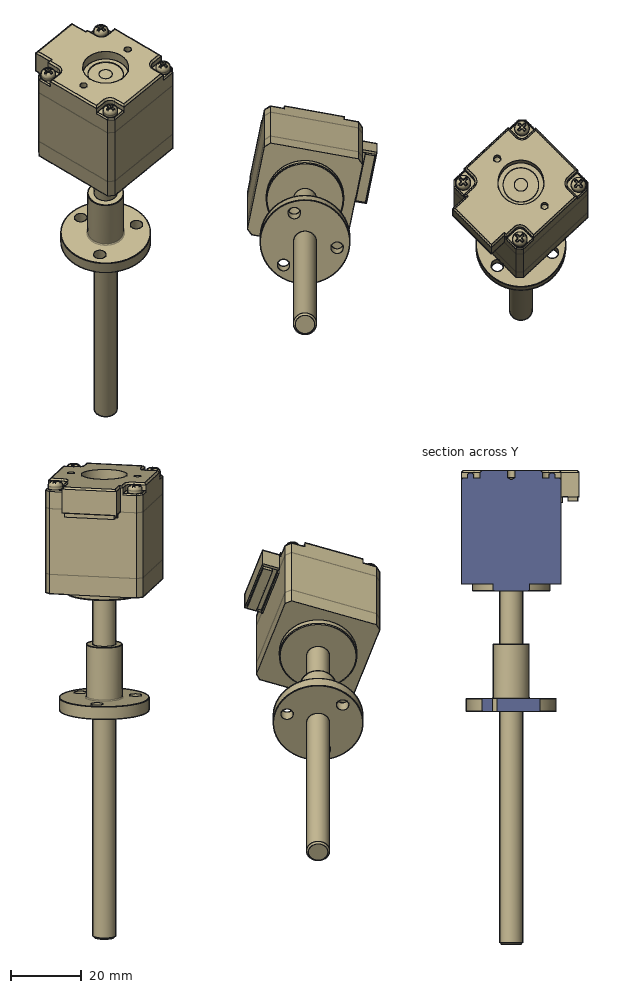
import cadquery as cq

OVERALL_LENGTH = 134.0

MOTOR_WIDTH = 28.3
MOTOR_HEIGHT = 32.2
BRACKET_HEIGHT = 5.6
COVER_HEIGHT = 7.5
CORNER_CHAMFER = 1.5
TOP_CHAMFER = 0.5
PILOT_DIAMETER = 22.0
PILOT_HEIGHT = 2.0
PILOT_CHAMFER = 0.3

POCKET_DIAMETER = 13.0
POCKET_DEPTH = 3.0
DISC_DIAMETER = 10.0
DISC_HEIGHT = 0.3
DRILLED_HOLE_DIAMETER = 2.0
DRILLED_HOLE_DEPTH = 2.0
DRILL_POINT_HEIGHT = 0.5
DRILLED_HOLE_OFFSET = 9.6

RECESS_SIZE = 5.5
RECESS_DEPTH = 2.1
RECESS_FILLET = 1.9
FLOOR_CHAMFER = 0.4
HEAD_SPACING = 23.0
HEAD_DIAMETER = 4.2
HEAD_FILLET = 1.3
CROSS_LENGTH = 2.7
CROSS_WIDTH = 0.7
CROSS_DEPTH = 1.1

BLOCK_REACH = 5.1
BLOCK_WIDTH = 15.8

CONNECTOR_WIDTH = 14.3
CONNECTOR_BASE_HEIGHT = 2.7
CONNECTOR_WALL = 0.4
OUTER_LIP_LENGTH = 2.8
OUTER_LIP_DROP = 1.2
INNER_LIP_LENGTH = 0.4
INNER_LIP_DROP = 1.6
PIN_COUNT = 6
PIN_PITCH = 2.0
PIN_SIZE = 0.8
PIN_INSET = 2.1
PIN_COVER = 0.5

SCREW_DIAMETER = 6.5
SCREW_CHAMFER = 0.5
SHAFT_DIAMETER = 3.8

NUT_GAP = 16.9
BARREL_DIAMETER = 10.2
BARREL_LENGTH = 15.4
FLANGE_DIAMETER = 25.5
FLANGE_THICKNESS = 3.8
NUT_CHAMFER = 0.1
BARREL_ROOT_FILLET = 0.3
FLANGE_HOLES = 3
FLANGE_HOLE_DIAMETER = 3.5
FLANGE_HOLE_CIRCLE = 18.5
FIRST_HOLE_ANGLE = 60

half_width = MOTOR_WIDTH / 2
cover_bottom = MOTOR_HEIGHT - COVER_HEIGHT
stator_height = cover_bottom - BRACKET_HEIGHT
recess_floor = MOTOR_HEIGHT - RECESS_DEPTH
disc_top = MOTOR_HEIGHT - POCKET_DEPTH + DISC_HEIGHT
block_end = -half_width - BLOCK_REACH
connector_end = block_end + CONNECTOR_WALL
screw_bottom = MOTOR_HEIGHT - OVERALL_LENGTH
flange_top = -NUT_GAP - BARREL_LENGTH
flange_bottom = flange_top - FLANGE_THICKNESS


def cylinder(diameter, bottom, height):
    """Upright cylinder on the motor axis."""
    return cq.Workplane("XY").workplane(offset=bottom).circle(diameter / 2).extrude(height)


def box(x_min, x_max, width, z_min, z_max):
    """Box centred on Y = 0."""
    block = cq.Workplane("XY").box(x_max - x_min, width, z_max - z_min, centered=(False, True, False))
    return block.translate((x_min, 0, z_min))


def housing_section(bottom, height):
    """Square slice of the housing with cut corners."""
    section = box(-half_width, half_width, MOTOR_WIDTH, bottom, bottom + height)
    return section.edges("|Z").chamfer(CORNER_CHAMFER)


def corner_recess():
    """Full-height cutter for the +X +Y corner of the rear cover, rounded on its inner corner."""
    centre = half_width - RECESS_SIZE / 2
    recess = cq.Workplane("XY").box(RECESS_SIZE, RECESS_SIZE, COVER_HEIGHT, centered=(True, True, False))
    recess = recess.edges("|Z and <X and <Y").fillet(RECESS_FILLET)
    return recess.translate((centre, centre, cover_bottom))


def screw_head():
    """Domed head with a cross slot, standing on the recess floor."""
    head = cylinder(HEAD_DIAMETER, recess_floor, RECESS_DEPTH).faces(">Z").edges().fillet(HEAD_FILLET)
    slot_bottom = MOTOR_HEIGHT - CROSS_DEPTH
    slot = box(-CROSS_LENGTH / 2, CROSS_LENGTH / 2, CROSS_WIDTH, slot_bottom, MOTOR_HEIGHT)
    return head.cut(slot).cut(slot.rotate((0, 0, 0), (0, 0, 1), 90))


def drilled_hole():
    """Cutter for a blind hole in the rear face with a conical drill point."""
    radius = DRILLED_HOLE_DIAMETER / 2
    tip = -DRILLED_HOLE_DEPTH - DRILL_POINT_HEIGHT
    outline = [(0, 0), (radius, 0), (radius, -DRILLED_HOLE_DEPTH), (0, tip)]
    profile = cq.Workplane("XZ").polyline(outline).close()
    return profile.revolve(360, (0, 0, 0), (0, 1, 0)).translate((0, 0, MOTOR_HEIGHT))


def make_rear_cover():
    """Rear cover with the side block, corner recesses, screw heads and central pocket."""
    cover = housing_section(cover_bottom, COVER_HEIGHT)
    cover = cover.union(box(block_end, 0, BLOCK_WIDTH, cover_bottom, MOTOR_HEIGHT))
    recess = corner_recess()
    for quarter in range(4):
        cover = cover.cut(recess.rotate((0, 0, 0), (0, 0, 1), 90 * quarter))
    cover = cover.faces(">Z").chamfer(TOP_CHAMFER)

    base = housing_section(cover_bottom, COVER_HEIGHT - RECESS_DEPTH)
    cover = cover.union(base.faces(">Z").chamfer(FLOOR_CHAMFER))

    cover = cover.cut(cylinder(POCKET_DIAMETER, MOTOR_HEIGHT - POCKET_DEPTH, POCKET_DEPTH))
    cover = cover.union(cylinder(DISC_DIAMETER, MOTOR_HEIGHT - POCKET_DEPTH, DISC_HEIGHT))
    for side in (-1, 1):
        cover = cover.cut(drilled_hole().translate((0, side * DRILLED_HOLE_OFFSET, 0)))

    head = screw_head()
    for x in (-HEAD_SPACING / 2, HEAD_SPACING / 2):
        for y in (-HEAD_SPACING / 2, HEAD_SPACING / 2):
            cover = cover.union(head.translate((x, y, 0)))
    return cover


def make_motor():
    """Housing whose three sections share coplanar sides; their joint lines are kept."""
    pilot = cylinder(PILOT_DIAMETER, -PILOT_HEIGHT, PILOT_HEIGHT).faces("<Z").chamfer(PILOT_CHAMFER)
    bracket = housing_section(0, BRACKET_HEIGHT).union(pilot)
    stator = housing_section(BRACKET_HEIGHT, stator_height)
    return make_rear_cover().union(stator, clean=False).union(bracket, clean=False)


def make_connector():
    """Connector base with two lips below the block and a row of pins above."""
    base_top = cover_bottom + CONNECTOR_BASE_HEIGHT
    connector = box(connector_end, -half_width, CONNECTOR_WIDTH, cover_bottom, base_top)
    outer_lip_end = connector_end + OUTER_LIP_LENGTH
    outer_lip = box(connector_end, outer_lip_end, CONNECTOR_WIDTH, cover_bottom - OUTER_LIP_DROP, cover_bottom)
    inner_lip_start = -half_width - INNER_LIP_LENGTH
    inner_lip = box(inner_lip_start, -half_width, CONNECTOR_WIDTH, cover_bottom - INNER_LIP_DROP, cover_bottom)
    connector = connector.union(outer_lip).union(inner_lip)

    pin_x = block_end + PIN_INSET
    pin = box(pin_x - PIN_SIZE / 2, pin_x + PIN_SIZE / 2, PIN_SIZE, base_top, MOTOR_HEIGHT - PIN_COVER)
    for index in range(PIN_COUNT):
        pin_y = (index - (PIN_COUNT - 1) / 2) * PIN_PITCH
        connector = connector.union(pin.translate((0, pin_y, 0)))
    return connector


def make_lead_screw():
    """Lead screw and the shaft that carries it through the motor."""
    screw = cylinder(SCREW_DIAMETER, screw_bottom, -screw_bottom).faces("<Z").chamfer(SCREW_CHAMFER)
    return screw.union(cylinder(SHAFT_DIAMETER, 0, disc_top))


def make_nut():
    """Flanged nut with a ring of through holes."""
    flange_radius = FLANGE_DIAMETER / 2
    barrel_radius = BARREL_DIAMETER / 2
    profile = (
        cq.Workplane("XZ")
        .moveTo(0, flange_bottom)
        .lineTo(flange_radius - NUT_CHAMFER, flange_bottom)
        .lineTo(flange_radius, flange_bottom + NUT_CHAMFER)
        .lineTo(flange_radius, flange_top - NUT_CHAMFER)
        .lineTo(flange_radius - NUT_CHAMFER, flange_top)
        .lineTo(barrel_radius + BARREL_ROOT_FILLET, flange_top)
        .radiusArc((barrel_radius, flange_top + BARREL_ROOT_FILLET), BARREL_ROOT_FILLET)
        .lineTo(barrel_radius, -NUT_GAP - NUT_CHAMFER)
        .lineTo(barrel_radius - NUT_CHAMFER, -NUT_GAP)
        .lineTo(0, -NUT_GAP)
        .close()
    )
    nut = profile.revolve(360, (0, 0, 0), (0, 1, 0))
    holes = (
        cq.Workplane("XY").workplane(offset=flange_bottom)
        .polarArray(FLANGE_HOLE_CIRCLE / 2, FIRST_HOLE_ANGLE, 360, FLANGE_HOLES)
        .circle(FLANGE_HOLE_DIAMETER / 2)
        .extrude(FLANGE_THICKNESS)
    )
    return nut.cut(holes)


lead_screw = make_lead_screw()
connector = make_connector()
motor = make_motor().cut(lead_screw, clean=False).cut(connector, clean=False)
nut = make_nut().cut(lead_screw)

result = cq.Compound.makeCompound([motor.val(), connector.val(), lead_screw.val(), nut.val()])